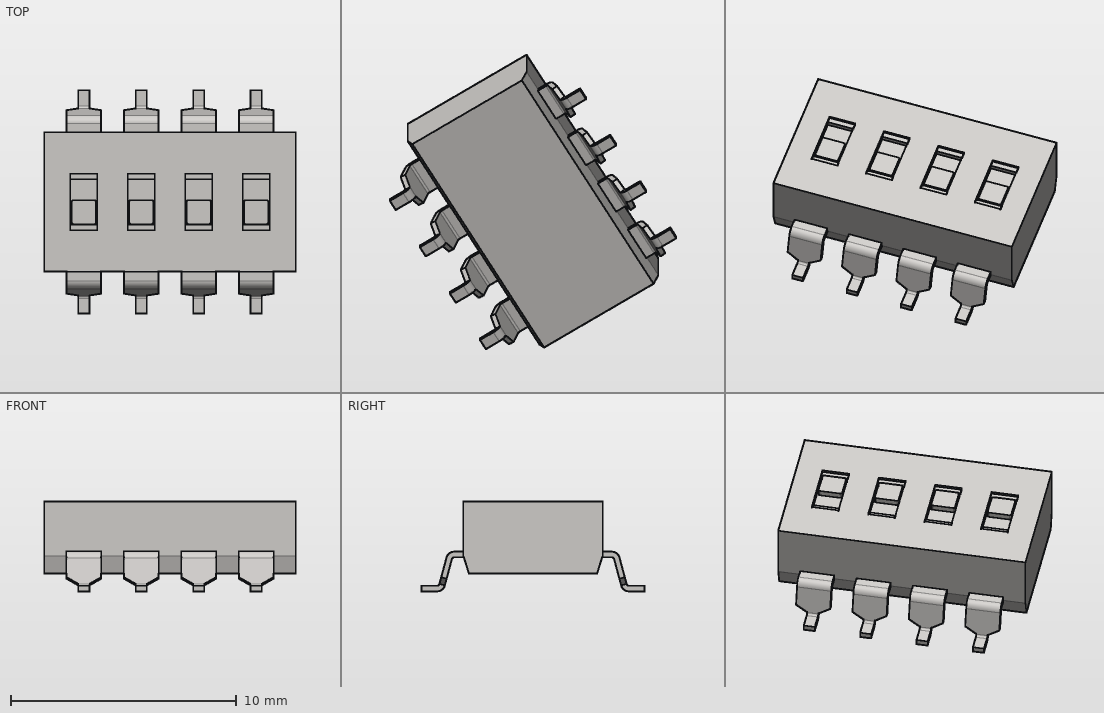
import cadquery as cq
import math


body_length = 11.16
overall_width = 9.9
overall_height = 4.0

body_width = 6.18
body_height = 3.2
body_bottom = overall_height - body_height
skirt_height = 0.8
skirt_inset = 0.25

position_count = 4
pitch = 2.55
positions = [(i - (position_count - 1) / 2) * pitch for i in range(position_count)]

slot_width = 1.2
slot_length = 2.5
recess_depth = 0.1
shelf_length = 0.25
pocket_length = slot_length - 2 * shelf_length
pocket_depth = 0.3

slider_size = 1.06
slider_end_gap = 0.02
slider_top_gap = 0.05
slider_round = 0.07
slider_root = 0.22
slider_y = -pocket_length / 2 + slider_end_gap + slider_size / 2

lead_thickness = 0.26
lead_width = 1.54
foot_width = 0.5
lead_top = 1.77
shoulder_length = 0.39
root_depth = 0.33
inner_bend = 0.11
outer_bend = inner_bend + lead_thickness
leg_tilt = math.radians(15)
bend_angle = math.pi / 2 - leg_tilt
lead_reach = (overall_width - body_width) / 2
taper_top = 0.64


def arc_point(center, radius, angle):
    """Point on a circle in the lead's (outward, height) section plane."""
    return (center[0] + radius * math.sin(angle), center[1] + radius * math.cos(angle))


upper_center = (shoulder_length, lead_top - outer_bend)
leg_outer_top = arc_point(upper_center, outer_bend, bend_angle)
leg_inner_top = arc_point(upper_center, inner_bend, bend_angle)
leg_outer_end_height = outer_bend - inner_bend * math.cos(bend_angle)
leg_length = (leg_outer_top[1] - leg_outer_end_height) / math.cos(leg_tilt)
taper_start = (leg_outer_top[1] - taper_top) / math.cos(leg_tilt)


def down_leg(point, distance):
    """Point moved along the leg toward the foot."""
    return (point[0] + distance * math.sin(leg_tilt), point[1] - distance * math.cos(leg_tilt))


leg_outer_end = down_leg(leg_outer_top, leg_length)
leg_inner_end = down_leg(leg_inner_top, leg_length)
lower_center = (leg_outer_end[0] + inner_bend * math.sin(bend_angle), outer_bend)


def make_body():
    half_width = body_width / 2
    skirt_top = body_bottom + skirt_height
    outline = [
        (-half_width, overall_height),
        (-half_width, skirt_top),
        (-half_width + skirt_inset, body_bottom),
        (half_width - skirt_inset, body_bottom),
        (half_width, skirt_top),
        (half_width, overall_height),
    ]
    return cq.Workplane("YZ").polyline(outline).close().extrude(body_length / 2, both=True)


def top_block(length_x, length_y, top, bottom, x, y):
    """Upright block whose top and bottom are depths below the body top."""
    return (
        cq.Workplane("XY")
        .workplane(offset=overall_height - bottom)
        .center(x, y)
        .rect(length_x, length_y)
        .extrude(bottom - top)
    )


def make_slot(x):
    recess = top_block(slot_width, slot_length, 0, recess_depth, x, 0)
    pocket = top_block(slot_width, pocket_length, 0, pocket_depth, x, 0)
    return recess.union(pocket)


def make_slider(x):
    slider_bottom = pocket_depth + slider_root
    slider = top_block(slider_size, slider_size, slider_top_gap, slider_bottom, x, slider_y)
    return slider.edges("|Z").fillet(slider_round)


def shoulder_section(leg_run):
    """Closed section of the root, upper bend and a length of leg."""
    lead_bottom = lead_top - lead_thickness
    return (
        cq.Workplane("YZ")
        .moveTo(-root_depth, lead_top)
        .lineTo(shoulder_length, lead_top)
        .threePointArc(arc_point(upper_center, outer_bend, bend_angle / 2), leg_outer_top)
        .lineTo(*down_leg(leg_outer_top, leg_run))
        .lineTo(*down_leg(leg_inner_top, leg_run))
        .lineTo(*leg_inner_top)
        .threePointArc(arc_point(upper_center, inner_bend, bend_angle / 2), (shoulder_length, lead_bottom))
        .lineTo(-root_depth, lead_bottom)
        .close()
    )


def foot_section():
    """Closed section of the lower bend and flat foot."""
    middle = math.pi + bend_angle / 2
    return (
        cq.Workplane("YZ")
        .moveTo(*leg_outer_end)
        .threePointArc(arc_point(lower_center, inner_bend, middle), (lower_center[0], lead_thickness))
        .lineTo(lead_reach, lead_thickness)
        .lineTo(lead_reach, 0)
        .lineTo(lower_center[0], 0)
        .threePointArc(arc_point(lower_center, outer_bend, middle), leg_inner_end)
        .close()
    )


def make_taper():
    """End of the leg, narrowing from lead width to foot width in the plane of the leg."""
    u, v = down_leg(leg_outer_top, taper_start)
    leg_face = cq.Plane(
        origin=(0, u, v),
        xDir=(1, 0, 0),
        normal=(0, math.cos(leg_tilt), math.sin(leg_tilt)),
    )
    taper_length = leg_length - taper_start
    outline = [
        (-lead_width / 2, 0),
        (lead_width / 2, 0),
        (foot_width / 2, taper_length),
        (-foot_width / 2, taper_length),
    ]
    return cq.Workplane(leg_face).polyline(outline).close().extrude(-lead_thickness)


def make_lead():
    """Lead pointing toward +Y, with its body face at Y = 0."""
    shoulder = shoulder_section(taper_start).extrude(lead_width / 2, both=True)
    foot = foot_section().extrude(foot_width / 2, both=True)
    return shoulder.union(make_taper()).union(foot)


result = make_body()
for x in positions:
    result = result.cut(make_slot(x)).union(make_slider(x))

back_lead = make_lead().translate((0, body_width / 2, 0))
front_lead = back_lead.mirror("XZ")
for x in positions:
    result = result.union(back_lead.translate((x, 0, 0))).union(front_lead.translate((x, 0, 0)))